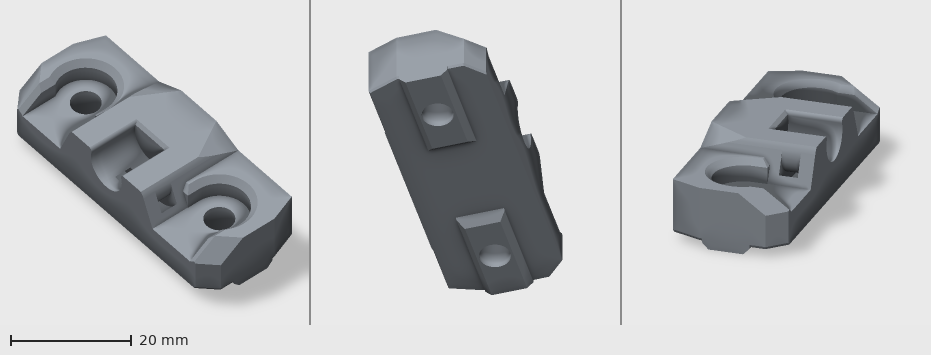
import cadquery as cq
import math

length = 52.0
depth = 20.0
half_length = length / 2
half_depth = depth / 2
wing_top = 9.5
bump_top = 12.0

rear_corner_x = 2.0
rear_corner_y = 5.4
front_corner = 3.0
corner_bevel = 3.4
bottom_bevel_out = 0.2
bottom_bevel_up = 0.45

slope_angle = 23.0
pocket_floor = 5.5
rear_facet_top_x = 4.5
rear_facet_front_y = 2.45

bore_radius = 4.0
bore_axis_z = 10.0
bore_back_y = -0.5
lip_radius = 0.75
lip_axis_z = 11.3
bore_back_bevel = 0.6

strap_thickness = 2.0
strap_front_y = -7.5
strap_rear_y = -4.2
strap_core_radius = 3.5
strap_core_half_width = 9.9
strap_breakthrough = 0.07
strap_core_bottom = bore_axis_z - bore_radius + strap_breakthrough
strap_axis_z = strap_core_bottom + strap_core_radius
strap_centre_x = strap_core_half_width - strap_core_radius

screw_x = 17.25
screw_hole_diameter = 5.3
pocket_radius = 5.25
pocket_bevel = 1.1
slope_bevel_drop = 0.75
pocket_outer_wall = 4.35
web_end_y = -2.4

foot_height = 1.4
foot_half_width = 4.15
foot_bevel = 1.1
foot_inner_top_x = 8.2
foot_inner_bottom_x = 9.8

slope_sin = math.sin(math.radians(slope_angle))
slope_cos = math.cos(math.radians(slope_angle))


def both_sides(right_solid):
    """The right-hand shape together with its mirror image."""
    return right_solid.union(right_solid.mirror("YZ"))


def y_prism(points, y_start, y_end):
    """Extrude an XZ outline from y_start to y_end."""
    sketch = cq.Workplane("XZ", origin=(0, y_start, 0)).polyline(points).close()
    return sketch.extrude(y_start - y_end)


def bump_half_width(z):
    """Half width at height z of the sloping sides, which are tangent to the strap core."""
    return strap_centre_x + (strap_core_radius - (z - strap_axis_z) * slope_sin) / slope_cos


def make_base():
    """Flat body with its cut plan corners and bottom bevel."""
    right_outline = [
        (half_length - front_corner, -half_depth),
        (half_length, -half_depth + front_corner),
        (half_length, half_depth - rear_corner_y),
        (half_length - rear_corner_x, half_depth),
    ]
    left_outline = [(-x, y) for x, y in reversed(right_outline)]
    base = cq.Workplane("XY").polyline(right_outline + left_outline).close().extrude(wing_top)
    bottom_edges = base.faces("<Z").edges().filter(lambda edge: edge.Center().y > -half_depth).vals()
    return cq.Workplane(base.val().chamfer(bottom_bevel_up, bottom_bevel_out, bottom_edges))


def make_corner_bevel():
    """Wedge that bevels the top edge of the right front corner."""
    middle = front_corner / 2
    plane = cq.Plane(
        origin=(half_length - middle, -half_depth + middle, wing_top),
        xDir=(1, -1, 0),
        normal=(1, 1, 0),
    )
    wedge = [(0, -corner_bevel), (-corner_bevel, 0), (0, corner_bevel), (corner_bevel, 0)]
    return cq.Workplane(plane).polyline(wedge).close().extrude(depth, both=True)


def make_pocket():
    """Round pocket with a slot to the front, bevelled rim and screw hole, on the right."""
    bevel_floor = wing_top - pocket_bevel
    height = wing_top - pocket_floor
    inner_x = screw_x - pocket_radius
    outer_x = screw_x + pocket_outer_wall
    bevel_x = outer_x + pocket_bevel

    bore = cq.Workplane("XY", origin=(screw_x, 0, pocket_floor)).circle(pocket_radius).extrude(height)
    cone = cq.Solid.makeCone(
        pocket_radius, pocket_radius + pocket_bevel, pocket_bevel, pnt=cq.Vector(screw_x, 0, bevel_floor)
    )
    slot = y_prism(
        [
            (inner_x, pocket_floor),
            (outer_x, pocket_floor),
            (outer_x, bevel_floor),
            (bevel_x, wing_top),
            (inner_x - pocket_bevel, wing_top),
            (inner_x, bevel_floor),
        ],
        0,
        -half_depth,
    )
    join_y = -math.sqrt(pocket_radius**2 - pocket_outer_wall**2)
    behind_join = y_prism(
        [(screw_x, 0), (bevel_x, 0), (bevel_x, bump_top), (screw_x, bump_top)],
        0,
        join_y,
    )
    slot = slot.cut(behind_join)

    web_gap = (
        cq.Workplane("YZ")
        .polyline([
            (-half_depth, pocket_floor),
            (web_end_y, pocket_floor),
            (web_end_y, bevel_floor),
            (web_end_y + pocket_bevel, wing_top),
            (-half_depth, wing_top),
        ])
        .close()
        .extrude(screw_x)
    )
    hole = (
        cq.Workplane("XY", origin=(screw_x, 0, -foot_height))
        .circle(screw_hole_diameter / 2)
        .extrude(foot_height + wing_top)
    )
    pocket = bore.union(cq.Workplane(cone)).union(slot).union(web_gap)
    return pocket.union(hole).union(make_slope_bevel())


def make_slope_bevel():
    """Bevel between the outer slot wall and the bevelled front corner, on the right."""
    bevel_x = screw_x + pocket_outer_wall + pocket_bevel
    start_y = bevel_x - (half_length + half_depth - front_corner - corner_bevel * math.sqrt(2))
    fall = 1 / math.sqrt(2)
    plane = cq.Plane(origin=(bevel_x, start_y, wing_top), xDir=(1, 0, 0), normal=(0, -1, -fall))
    depth_across = slope_bevel_drop / math.hypot(1, fall)
    profile = [(0, 0), (-pocket_bevel, -depth_across), (-pocket_bevel, corner_bevel), (0, corner_bevel)]
    return cq.Workplane(plane).polyline(profile).close().extrude(half_depth)


def make_strap_loop(offset):
    """Full-depth prism of the strap loop, grown outward by an offset."""
    loop = cq.Workplane("XZ", origin=(0, half_depth, strap_axis_z))
    return loop.slot2D(2 * (strap_core_half_width + offset), 2 * (strap_core_radius + offset)).extrude(depth)


def top_half_width():
    """Half width of the flat top of the bump."""
    rise = bump_top - strap_axis_z
    return strap_centre_x + math.sqrt(strap_core_radius**2 - rise**2)


def make_bump():
    """Raised middle with sloping sides, rounded shoulders and slanted rear facets."""
    low = bump_half_width(0)
    high = bump_half_width(bump_top)
    bump = y_prism([(-low, 0), (low, 0), (high, bump_top), (-high, bump_top)], half_depth, -half_depth)
    tangent_z = strap_axis_z + strap_core_radius * slope_sin
    cap = cq.Workplane("XY", origin=(0, 0, tangent_z)).rect(length, depth).extrude(bump_top)
    bump = bump.cut(cap.cut(make_strap_loop(0)))
    return bump.cut(both_sides(make_rear_facet()))


def make_rear_facet():
    """Region above the slanted rear facet of the bump, on the right."""
    top_rear = cq.Vector(rear_facet_top_x, half_depth, bump_top)
    tip = cq.Vector(top_half_width(), rear_facet_front_y, bump_top)
    low_rear = cq.Vector(bump_half_width(wing_top), half_depth, wing_top)
    normal = (tip - top_rear).cross(low_rear - top_rear)
    if normal.z < 0:
        normal = normal * -1
    plane = cq.Plane(origin=top_rear, xDir=tip - top_rear, normal=normal)
    return cq.Workplane(plane).rect(4 * depth, 4 * depth).extrude(depth)


def make_mouth(y_start, mouth_length):
    """Opening above the bore axis, between two round lips tangent to the bore."""
    axis_distance = bore_radius + lip_radius
    lip_rise = lip_axis_z - bore_axis_z
    lip_x = math.sqrt(axis_distance**2 - lip_rise**2)
    tangent_share = bore_radius / axis_distance
    tangent_x = lip_x * tangent_share
    tangent_z = bore_axis_z + lip_rise * tangent_share
    narrow_x = lip_x - lip_radius
    rim_x = lip_x - math.sqrt(lip_radius**2 - (bump_top - lip_axis_z) ** 2)
    return (
        cq.Workplane("XZ", origin=(0, y_start, 0))
        .moveTo(-tangent_x, bore_axis_z)
        .lineTo(tangent_x, bore_axis_z)
        .lineTo(tangent_x, tangent_z)
        .threePointArc((narrow_x, lip_axis_z), (rim_x, bump_top))
        .lineTo(-rim_x, bump_top)
        .threePointArc((-narrow_x, lip_axis_z), (-tangent_x, tangent_z))
        .close()
        .extrude(mouth_length)
    )


def make_bore():
    """Cable bore with rounded lips along its mouth in the top of the bump."""
    bore_length = bore_back_y + half_depth
    bore = (
        cq.Workplane("XZ", origin=(0, bore_back_y, bore_axis_z))
        .circle(bore_radius)
        .extrude(bore_length)
    )
    mouth = make_mouth(bore_back_y, bore_length)
    back_bevel = (
        cq.Workplane("YZ", origin=(-bore_radius - lip_radius, 0, 0))
        .polyline([
            (bore_back_y, bump_top - bore_back_bevel),
            (bore_back_y + bore_back_bevel, bump_top),
            (bore_back_y, bump_top),
        ])
        .close()
        .extrude(2 * (bore_radius + lip_radius))
    )
    back_bevel = back_bevel.intersect(make_mouth(half_depth, depth))
    return bore.union(mouth).union(back_bevel)


def make_strap_channel():
    """Channel that lets a strap pass around the bore and out of both slopes."""
    strap_width = strap_rear_y - strap_front_y
    band = cq.Workplane("XY").box(length, strap_width, 4 * bump_top)
    band = band.translate((0, (strap_front_y + strap_rear_y) / 2, 0))
    return make_strap_loop(strap_thickness).cut(make_strap_loop(0)).intersect(band)


def make_foot():
    """Foot under the right wing, filling the bottom bevel at the end face."""
    foot = y_prism(
        [
            (foot_inner_top_x, 0),
            (foot_inner_bottom_x, -foot_height),
            (half_length, -foot_height),
            (half_length, bottom_bevel_up),
            (foot_inner_top_x, bottom_bevel_up),
        ],
        foot_half_width,
        -foot_half_width,
    )
    return foot.faces("<Z").edges("|X").chamfer(foot_bevel)


base = make_base().cut(both_sides(make_corner_bevel()))
body = base.union(both_sides(make_foot()))
body = body.cut(both_sides(make_pocket())).union(make_bump())
result = body.cut(make_bore()).cut(make_strap_channel())